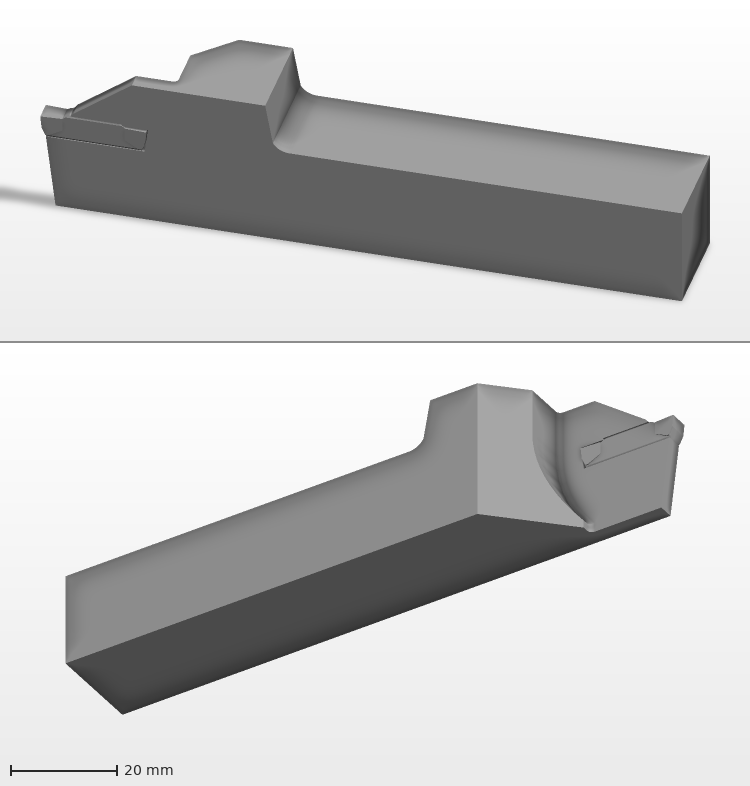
import cadquery as cq
import math

total_length = 125.0
shank_width = 20.0
shank_height = 20.0
head_height = 30.0
front_bottom_x = 2.9

nose_x = 5.8
nose_top_x = 6.4
nose_top_z = 21.5
head_start_x = 17.8
head_end_x = 43.8
head_foot_x = 45.2
head_foot_z = 21.8
head_foot_radius = 3.8

blade_thickness = 3.2
bevel_start_x = 33.2
relief_edge_x = 25.8
relief_radius = 27.5
relief_wall_x = 18.8
relief_root_radius = 1.0
run_out = 1.2

insert_length = 20.6
edge_overhang = 0.4
edge_length = 4.2
edge_rear_overhang = 0.1
edge_side_z = 17.4
edge_heel_x = 1.5
edge_heel_z = 15.9
front_break_x = 0.2
front_break_z = 17.5
insert_foot_x = 1.0
insert_bottom_z = 15.4
insert_rise = 0.8
insert_rise_run = 1.2
insert_chamfer_height = 0.4
insert_chamfer_depth = 0.2

seat_step_x = 15.9
seat_rear_z = 20.4
seat_rear_top_x = 20.9
seat_rear_bottom_x = 20.2

insert_top_z = shank_height + insert_rise


def side_prism(points, y_start, y_end):
    """Extrude an outline in X and Z from y_start to y_end."""
    return (
        cq.Workplane("XZ", origin=(0, y_start, 0))
        .polyline(points)
        .close()
        .extrude(y_start - y_end)
    )


def make_holder_blank():
    """Shank, blade and clamping head at the full width, with a concave foot behind the head."""
    foot_rise = head_foot_z - shank_height
    foot_run = math.sqrt(foot_rise * (2 * head_foot_radius - foot_rise))
    return (
        cq.Workplane("XZ")
        .moveTo(front_bottom_x, 0)
        .lineTo(total_length, 0)
        .lineTo(total_length, shank_height)
        .lineTo(head_foot_x + foot_run, shank_height)
        .tangentArcPoint((head_foot_x, head_foot_z), relative=False)
        .lineTo(head_end_x, head_height)
        .lineTo(head_start_x, head_height)
        .lineTo(nose_top_x, nose_top_z)
        .lineTo(nose_x, insert_top_z)
        .lineTo(nose_x, insert_bottom_z)
        .lineTo(insert_foot_x, insert_bottom_z)
        .close()
        .extrude(-shank_width)
    )


def make_bevel_cutter():
    """Triangular corner in front of the 45 degree bevel, overlapping the relief and clear of the blade."""
    front_x = relief_wall_x - run_out
    front_y = shank_width - (bevel_start_x - front_x)
    back_y = shank_width + run_out
    return (
        cq.Workplane("XY", origin=(0, 0, -run_out))
        .polyline(
            [
                (front_x, front_y),
                (bevel_start_x + run_out, back_y),
                (front_x, back_y),
            ]
        )
        .close()
        .extrude(head_height + 2 * run_out)
    )


def make_relief_cutter():
    """Scooped clearance behind the blade, with a rounded root."""
    arc_center_x = relief_edge_x - relief_radius
    wall_angle = math.acos((relief_wall_x - arc_center_x) / relief_radius)
    arc_end_z = shank_height - relief_radius * math.sin(wall_angle)
    mid_x = arc_center_x + relief_radius * math.cos(wall_angle / 2)
    mid_z = shank_height - relief_radius * math.sin(wall_angle / 2)
    cutter = (
        cq.Workplane("XZ", origin=(0, blade_thickness, 0))
        .moveTo(-run_out, -run_out)
        .lineTo(relief_wall_x, -run_out)
        .lineTo(relief_wall_x, arc_end_z)
        .threePointArc((mid_x, mid_z), (relief_edge_x, shank_height))
        .lineTo(relief_edge_x, head_height + run_out)
        .lineTo(-run_out, head_height + run_out)
        .close()
        .extrude(blade_thickness - shank_width - run_out)
    )
    return cutter.faces("<Y").edges().fillet(relief_root_radius)


def make_seat_cutter():
    """Pocket for the insert, open at the front and through both faces of the blade."""
    return side_prism(
        [
            (0, insert_bottom_z),
            (seat_rear_bottom_x, insert_bottom_z),
            (seat_rear_top_x, seat_rear_z),
            (seat_step_x, seat_rear_z),
            (seat_step_x, insert_top_z),
            (0, insert_top_z),
        ],
        0,
        shank_width,
    )


def make_holder():
    holder = make_holder_blank().cut(make_bevel_cutter())
    return holder.cut(make_relief_cutter()).cut(make_seat_cutter())


def make_insert_core():
    """Middle of the insert, flush with the blade, with bevelled long edges."""
    core = side_prism(
        [
            (insert_foot_x, insert_bottom_z),
            (insert_length - insert_foot_x, insert_bottom_z),
            (insert_length - front_break_x, front_break_z),
            (insert_length, shank_height),
            (insert_length - edge_length, shank_height),
            (insert_length - edge_length - insert_rise_run, insert_top_z),
            (edge_length + insert_rise_run, insert_top_z),
            (edge_length, shank_height),
            (0, shank_height),
            (front_break_x, front_break_z),
        ],
        0,
        blade_thickness,
    )
    section = (
        cq.Workplane("YZ")
        .polyline(
            [
                (insert_chamfer_depth, insert_bottom_z),
                (blade_thickness - insert_chamfer_depth, insert_bottom_z),
                (blade_thickness, insert_bottom_z + insert_chamfer_height),
                (blade_thickness, insert_top_z - insert_chamfer_height),
                (blade_thickness - insert_chamfer_depth, insert_top_z),
                (insert_chamfer_depth, insert_top_z),
                (0, insert_top_z - insert_chamfer_height),
                (0, insert_bottom_z + insert_chamfer_height),
            ]
        )
        .close()
        .extrude(insert_length)
    )
    return core.intersect(section)


def make_cutting_end():
    """Front cutting end: widest at the edge and tapering towards the middle."""
    end = side_prism(
        [
            (0, shank_height),
            (edge_length, shank_height),
            (edge_length, edge_side_z),
            (edge_heel_x, edge_heel_z),
            (insert_foot_x, edge_heel_z),
            (front_break_x, front_break_z),
        ],
        -edge_overhang,
        blade_thickness + edge_overhang,
    )
    plan = (
        cq.Workplane("XY")
        .polyline(
            [
                (0, -edge_overhang),
                (edge_length, -edge_rear_overhang),
                (edge_length, blade_thickness + edge_rear_overhang),
                (0, blade_thickness + edge_overhang),
            ]
        )
        .close()
        .extrude(head_height)
    )
    return end.intersect(plan)


def make_insert():
    """Double-ended insert: the same cutting end at the front and, mirrored, at the rear."""
    front_end = make_cutting_end()
    rear_end = front_end.mirror("YZ", (insert_length / 2, 0, 0))
    return make_insert_core().union(front_end).union(rear_end)


holder = make_holder()
insert = make_insert()

result = cq.Compound.makeCompound([holder.solids().val(), insert.solids().val()])